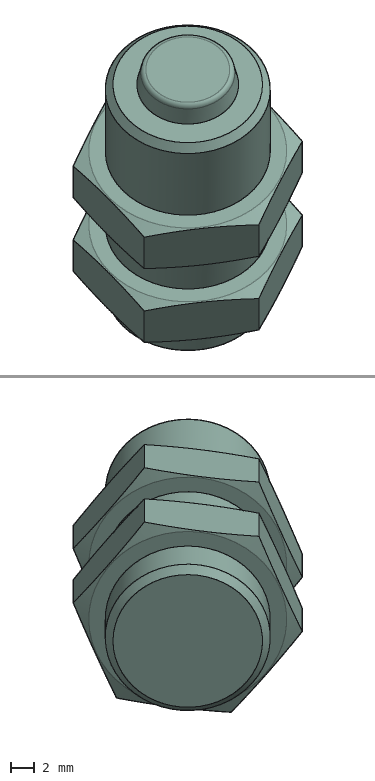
import cadquery as cq
import math

BODY_RADIUS = 14.0 / 2
BODY_HEIGHT = 28.0
BODY_CHAMFER = 0.65
TOTAL_HEIGHT = 30
TIP_BASE_RADIUS = 4.32
TIP_TAPER = 11.0
TIP_FILLET = 0.45

NUT_ACROSS_FLATS = 17.0
NUT_HEIGHT = 5.0
NUT_FACE_RADIUS = 8.4
NUT_CHAMFER_ANGLE = 15.0
LOWER_NUT_Z = 4.0
NUT_PITCH = 10.0
NUT_COUNT = 2


def make_body():
    """Chamfered cylinder with a rounded conical tip on its top face."""
    cylinder = cq.Workplane("XY").circle(BODY_RADIUS).extrude(BODY_HEIGHT)
    cylinder = cylinder.faces("<Z or >Z").chamfer(BODY_CHAMFER)
    tip = (
        cq.Workplane("XY", origin=(0, 0, BODY_HEIGHT))
        .circle(TIP_BASE_RADIUS)
        .extrude(TOTAL_HEIGHT - BODY_HEIGHT, taper=TIP_TAPER)
        .faces(">Z")
        .edges()
        .fillet(TIP_FILLET)
    )
    return cylinder.union(tip).solids()


def make_nut(base_z):
    """Hexagonal nut with corners on the Y axis, bevelled on both faces."""
    corner_radius = NUT_ACROSS_FLATS / math.sqrt(3)
    bevel_drop = (corner_radius - NUT_FACE_RADIUS) * math.tan(math.radians(NUT_CHAMFER_ANGLE))
    hexagon = (
        cq.Workplane("XY")
        .polygon(6, 2 * corner_radius)
        .extrude(NUT_HEIGHT)
        .rotate((0, 0, 0), (0, 0, 1), 90)
    )
    bevelled_blank = (
        cq.Workplane("XZ")
        .moveTo(0, 0)
        .lineTo(NUT_FACE_RADIUS, 0)
        .lineTo(corner_radius, bevel_drop)
        .lineTo(corner_radius, NUT_HEIGHT - bevel_drop)
        .lineTo(NUT_FACE_RADIUS, NUT_HEIGHT)
        .lineTo(0, NUT_HEIGHT)
        .close()
        .revolve(360, (0, 0, 0), (0, 1, 0))
    )
    bore = cq.Workplane("XY").circle(BODY_RADIUS).extrude(NUT_HEIGHT)
    nut = hexagon.intersect(bevelled_blank).cut(bore)
    return nut.translate((0, 0, base_z)).solids()


body = make_body()
nuts = [make_nut(LOWER_NUT_Z + index * NUT_PITCH) for index in range(NUT_COUNT)]

result = cq.Compound.makeCompound([body.val(), *[nut.val() for nut in nuts]])